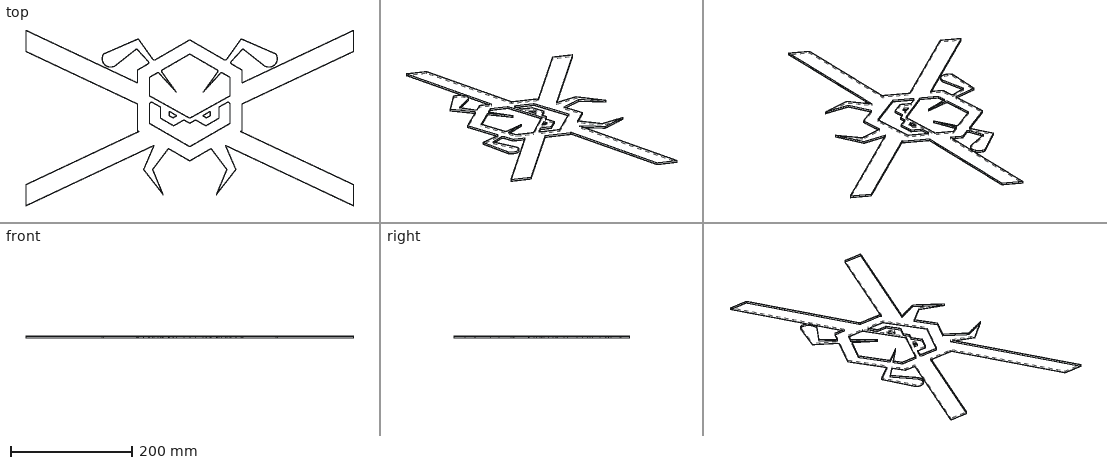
import cadquery as cq
import math

length = 540.0
width = 289.5
thickness = 3.2

arm_end_height = 35.0

head_y = 29.0
head_radius = 100.0
window_radius = 76.0

brow_angle = 29.0
brow_slope = math.tan(math.radians(brow_angle))
brow_apex_y = 0.0
brow_height = 8.5

eye_x = 26.5
eye_y = 12.5
eye_radius = 25.5
pupil_points = [(-33.5, 11.0), (-33.5, 4.0), (-27.5, 0.5), (-21.5, 4.0)]

antenna_tip = (-22.0, 42.5)
antenna_knee_outer = (-85.0, 130.5)
antenna_knee_inner = (-87.5, 114.0)
club_top = (-142.0, 106.0)
club_end = (-140.5, 88.0)
club_bottom = (-123.0, 86.0)

corner_radius = 2.5
antenna_joints = [(-59.5, 95.0), (-66.5, 90.5), (-47.5, 77.5)]

mandible_root_outer = (-54.5, -34.5)
mandible_elbow_outer = (-76.0, -85.0)
mandible_tip = (-43.5, -126.5)
mandible_elbow_inner = (-61.0, -85.0)
mandible_root_inner = (-31.5, -45.5)


def plate(points):
    """Flat plate with a straight-sided outline."""
    return cq.Workplane("XY").polyline(points).close().extrude(thickness)


def hexagon(x, y, radius):
    """Regular hexagonal plate with corners pointing up and down."""
    angles = [math.radians(30 + 60 * i) for i in range(6)]
    return plate([(x + radius * math.cos(a), y + radius * math.sin(a)) for a in angles])


def both_sides(left):
    """A left-hand feature together with its mirror image across the YZ plane."""
    return left.union(left.mirror("YZ"))


def arm_band():
    """One straight band from the lower left end to the upper right end."""
    x = length / 2
    top = width / 2
    inner = top - arm_end_height
    return plate([(-x, -top), (-x, -inner), (x, top), (x, inner)])


def antenna():
    return (
        cq.Workplane("XY")
        .moveTo(*antenna_tip)
        .lineTo(*antenna_knee_outer)
        .lineTo(*club_top)
        .threePointArc(club_end, club_bottom)
        .lineTo(*antenna_knee_inner)
        .close()
        .extrude(thickness)
    )


def mandible():
    return plate([
        mandible_root_outer,
        mandible_elbow_outer,
        mandible_tip,
        mandible_elbow_inner,
        mandible_root_inner,
    ])


def v_bar(height):
    """V-shaped bar across the head, with its upper edge on the brow line."""
    x = head_radius
    apex = brow_apex_y
    side = apex + brow_slope * x
    return plate([(0, apex), (x, side), (x, side - height), (0, apex - height),
                  (-x, side - height), (-x, side)])


def brow_and_eyes(window):
    """Brow trimmed to the window, and eyes trimmed to the brow's upper edge."""
    eyes = both_sides(hexagon(-eye_x, eye_y, eye_radius)).intersect(v_bar(head_radius))
    pupils = both_sides(plate(pupil_points))
    return v_bar(brow_height).intersect(window).union(eyes).cut(pupils)


def round_corners(body, corners):
    """Fillet the upright edge nearest each left-hand corner, and its mirror image."""
    for x, y in corners:
        for side in (1, -1):
            nearest = cq.NearestToPointSelector((side * x, y, thickness / 2))
            body = body.edges("|Z").edges(nearest).fillet(corner_radius)
    return body


window = hexagon(0, head_y, window_radius)
frame = both_sides(arm_band()).union(hexagon(0, head_y, head_radius)).cut(window)

body = (
    frame
    .union(both_sides(antenna()))
    .union(both_sides(mandible()))
    .union(brow_and_eyes(window))
)

window_side_x = -window_radius * math.cos(math.radians(30))
brow_corner = (window_side_x, brow_apex_y - brow_height - brow_slope * window_side_x)

result = round_corners(body, antenna_joints + [brow_corner])